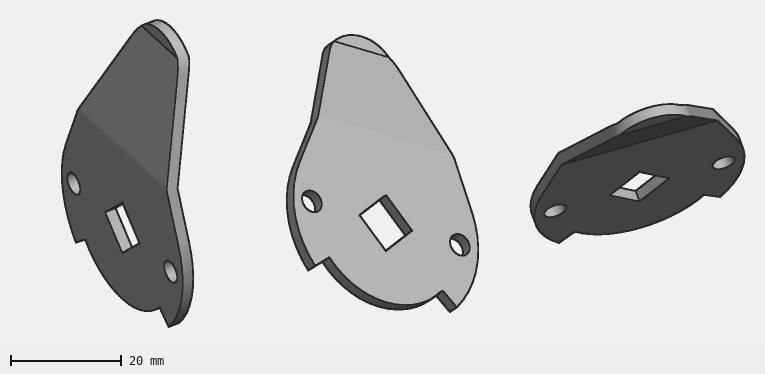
import cadquery as cq
import math

thickness = 2.3
disc_radius = 19.95
rim_radius = 15.95
rim_end_angle = 40.0

tip_radius = 8.0
tip_centre_z = 33.05

pin_hole_diameter = 4.2
pin_hole_offset = 15.95
square_side = 8.0

tip_offset = 8.05
lower_bend_z = 17.45
upper_bend_z = 38.4
lower_bend_radius = 2.3

total_depth = tip_offset + thickness
top_z = tip_centre_z + tip_radius


def polar(radius, degrees, centre_z=0.0):
    """Point in the XZ plane at an angle from +X around (0, centre_z)."""
    angle = math.radians(degrees)
    return radius * math.cos(angle), centre_z + radius * math.sin(angle)


def mirrored(point):
    return -point[0], point[1]


def make_outline():
    """Front outline: disc and tip joined by tangent lines, extruded through the full depth."""
    tangent_angle = math.degrees(math.asin((disc_radius - tip_radius) / tip_centre_z))
    disc_tangent = polar(disc_radius, tangent_angle)
    tip_tangent = polar(tip_radius, tangent_angle, tip_centre_z)
    disc_end = polar(disc_radius, -rim_end_angle)
    rim_end = polar(rim_radius, -rim_end_angle)
    return (
        cq.Workplane("XZ")
        .moveTo(*disc_tangent)
        .lineTo(*tip_tangent)
        .threePointArc((0, top_z), mirrored(tip_tangent))
        .lineTo(*mirrored(disc_tangent))
        .threePointArc((-disc_radius, 0), mirrored(disc_end))
        .lineTo(*mirrored(rim_end))
        .threePointArc((0, -rim_radius), rim_end)
        .lineTo(*disc_end)
        .threePointArc((disc_radius, 0), disc_tangent)
        .close()
        .extrude(-total_depth)
    )


def make_bent_sheet():
    """Side profile of the doubly bent sheet, wide enough to cover the outline."""
    slope_angle = math.atan2(tip_offset, upper_bend_z - lower_bend_z)
    back_shift = thickness * math.tan(slope_angle / 2)
    sheet = (
        cq.Workplane("YZ")
        .polyline([
            (0, -disc_radius),
            (0, lower_bend_z),
            (tip_offset, upper_bend_z),
            (tip_offset, top_z),
            (total_depth, top_z),
            (total_depth, upper_bend_z - back_shift),
            (thickness, lower_bend_z - back_shift),
            (thickness, -disc_radius),
        ])
        .close()
        .extrude(disc_radius, both=True)
    )
    lower_bend = cq.selectors.NearestToPointSelector((0, 0, lower_bend_z))
    return sheet.edges("|X").edges(lower_bend).fillet(lower_bend_radius)


def make_openings():
    """Two pin holes and a square hole standing on its corner."""
    pins = (
        cq.Workplane("XZ")
        .pushPoints([(-pin_hole_offset, 0), (pin_hole_offset, 0)])
        .circle(pin_hole_diameter / 2)
        .extrude(-thickness)
    )
    square = (
        cq.Workplane("XZ")
        .transformed(rotate=(0, 0, 45))
        .rect(square_side, square_side)
        .extrude(-thickness)
    )
    return pins.union(square)


result = make_outline().intersect(make_bent_sheet()).cut(make_openings())